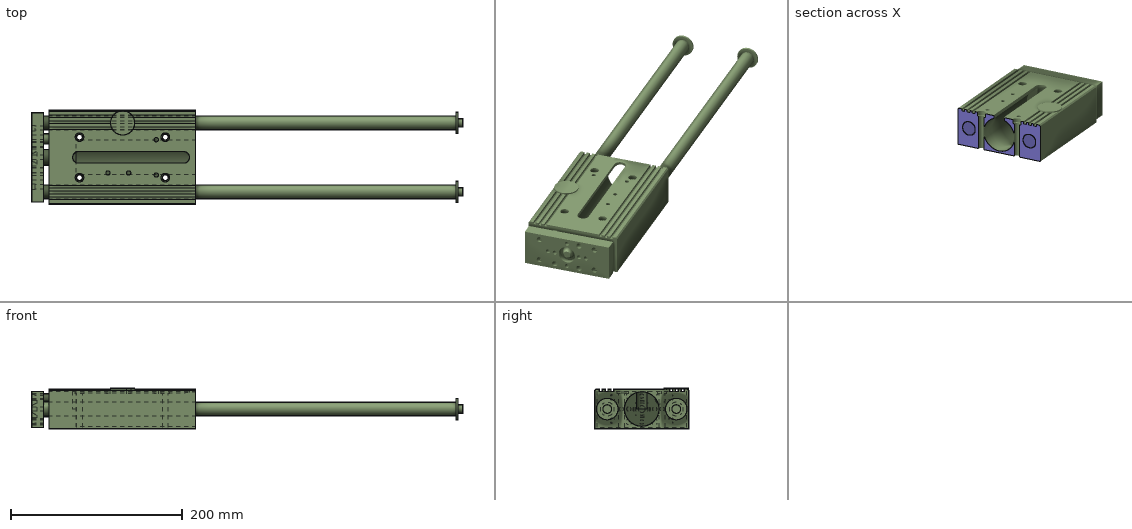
import cadquery as cq

overall_length = 501.5
housing_height = 46.0
axis_z = housing_height / 2
rod_offset = 40.0
rod_diameter = 16.0
plate_thickness = 14.0

housing_start = 20.0
housing_end = 190.5
housing_width = 110.0
top_edge_chamfer = 1.5
bore_diameter = 40.0
bore_start = 51.5
slot_start = 47.5
slot_end = 183.5
slot_width = 13.5
groove_width = 3.0
groove_depth = 2.5
groove_count = 3
first_groove_y = 34.0
last_groove_y = 47.5
groove_pitch = (last_groove_y - first_groove_y) / (groove_count - 1)
disc_diameter = 28.0
disc_height = 1.5
disc_x = 106.0
mount_hole_diameter = 6.5
mount_counterbore_diameter = 10.0
mount_counterbore_depth = 5.0
mount_xs = (55.5, 155.5)
mount_offset_y = 23.5
small_hole_diameter = 5.0
small_hole_depth = 5.0
small_hole_places = ((89.0, -18.0), (113.0, -18.0), (145.0, -20.5), (145.0, 20.5))

plate_width = 104.5
plate_height = 42.0
plate_bottom_z = 1.5
screw_hole_diameter = 4.9
screw_counterbore_diameter = 6.5
screw_counterbore_depth = 4.0
screw_hole_y = 34.0
screw_hole_dz = 13.5
tap_hole_diameter = 6.5
dowel_hole_diameter = 5.0
hole_pitch = 15.0
outer_hole_y = 23.5
recess_diameter = 20.0
recess_depth = 6.0
head_diameter = 14.5
head_flat_diameter = 8.0
head_height = 5.5
hub_diameter = 18.5
bumper_diameter = 12.0
bumper_y = 21.5
bumper_z = 35.0
flange_diameter = 25.0
flange_start = 493.5
flange_thickness = 2.5
stub_diameter = 10.0


def cylinder_x(diameter, x_start, x_end, y, z):
    """Cylinder along X between two X positions."""
    return (
        cq.Workplane("YZ", origin=(x_start, y, z))
        .circle(diameter / 2)
        .extrude(x_end - x_start)
    )


def cylinder_down(diameter, x, y, z_top, depth):
    """Vertical cylinder hanging down from z_top."""
    return cq.Workplane("XY", origin=(x, y, z_top)).circle(diameter / 2).extrude(-depth)


def make_housing():
    length = housing_end - housing_start
    middle_x = (housing_start + housing_end) / 2
    body = (
        cq.Workplane("XY", origin=(middle_x, 0, 0))
        .box(length, housing_width, housing_height, centered=(True, True, False))
        .edges("|X and >Z")
        .chamfer(top_edge_chamfer)
    )

    for side in (-1, 1):
        for index in range(groove_count):
            groove_y = side * (first_groove_y + index * groove_pitch)
            groove = cq.Workplane("XY", origin=(middle_x, groove_y, housing_height - groove_depth)).box(
                length, groove_width, groove_depth, centered=(True, True, False)
            )
            body = body.cut(groove)

    body = body.cut(cylinder_x(bore_diameter, bore_start, housing_end, 0, axis_z))
    slot = (
        cq.Workplane("XY", origin=((slot_start + slot_end) / 2, 0, axis_z))
        .slot2D(slot_end - slot_start, slot_width)
        .extrude(housing_height - axis_z)
    )
    body = body.cut(slot)

    for side in (-1, 1):
        body = body.cut(cylinder_x(rod_diameter, housing_start, housing_end, side * rod_offset, axis_z))

    for x in mount_xs:
        for y in (-mount_offset_y, mount_offset_y):
            body = body.cut(cylinder_down(mount_hole_diameter, x, y, housing_height, housing_height))
            body = body.cut(
                cylinder_down(mount_counterbore_diameter, x, y, housing_height, mount_counterbore_depth)
            )

    for x, y in small_hole_places:
        body = body.cut(cylinder_down(small_hole_diameter, x, y, housing_height, small_hole_depth))

    disc = cylinder_down(disc_diameter, disc_x, rod_offset, housing_height + disc_height, disc_height)
    return body.union(disc)


def make_plate():
    plate = cq.Workplane("XY", origin=(plate_thickness / 2, 0, plate_bottom_z)).box(
        plate_thickness, plate_width, plate_height, centered=(True, True, False)
    )
    screw_places = [(sy * screw_hole_y, sz * screw_hole_dz) for sy in (-1, 1) for sz in (-1, 1)]
    pitch = hole_pitch
    tap_places = [(-pitch, pitch), (-pitch, -pitch), (pitch, -pitch)]
    dowel_places = [(pitch, 0), (-pitch, 0), (0, pitch), (0, -pitch), (outer_hole_y, 0), (-outer_hole_y, 0)]
    hole_groups = (
        (screw_hole_diameter, plate_thickness, screw_places),
        (screw_counterbore_diameter, screw_counterbore_depth, screw_places),
        (tap_hole_diameter, plate_thickness, tap_places),
        (dowel_hole_diameter, plate_thickness, dowel_places),
    )
    for diameter, depth, places in hole_groups:
        for y, dz in places:
            plate = plate.cut(cylinder_x(diameter, 0, depth, y, axis_z + dz))

    plate = plate.cut(cylinder_x(recess_diameter, 0, recess_depth, 0, axis_z))
    head = (
        cq.Workplane("YZ", origin=(recess_depth, 0, axis_z))
        .circle(head_diameter / 2)
        .workplane(offset=-head_height)
        .circle(head_flat_diameter / 2)
        .loft()
    )
    return plate.union(head)


def make_carriage():
    carriage = make_plate()
    hub = cylinder_x(hub_diameter, plate_thickness, housing_start, 0, axis_z)
    bumper = cylinder_x(bumper_diameter, plate_thickness, housing_start, bumper_y, bumper_z)
    carriage = carriage.union(hub).union(bumper)

    for side in (-1, 1):
        y = side * rod_offset
        flange_end = flange_start + flange_thickness
        rod = cylinder_x(rod_diameter, plate_thickness, flange_start, y, axis_z)
        flange = cylinder_x(flange_diameter, flange_start, flange_end, y, axis_z)
        stub = cylinder_x(stub_diameter, flange_end, overall_length, y, axis_z)
        carriage = carriage.union(rod).union(flange).union(stub)
    return carriage


housing = make_housing()
carriage = make_carriage()
result = cq.Compound.makeCompound([housing.val(), carriage.val()])